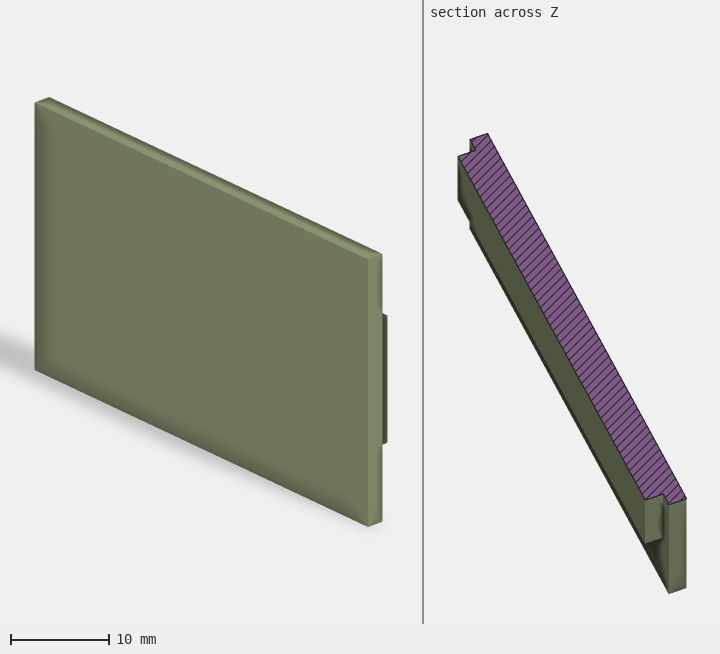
import cadquery as cq

plate_width = 51.0
plate_height = 30.0
plate_thickness = 2.0

block_width = 48.0
block_height = 14.3
block_thickness = 2.0
block_bottom_gap = 7.7

block_left = (plate_width - block_width) / 2

plate = cq.Workplane("XY").box(plate_width, plate_thickness, plate_height, centered=False)

block = (
    cq.Workplane("XY")
    .box(block_width, block_thickness, block_height, centered=False)
    .translate((block_left, plate_thickness, block_bottom_gap))
)

result = plate.union(block)